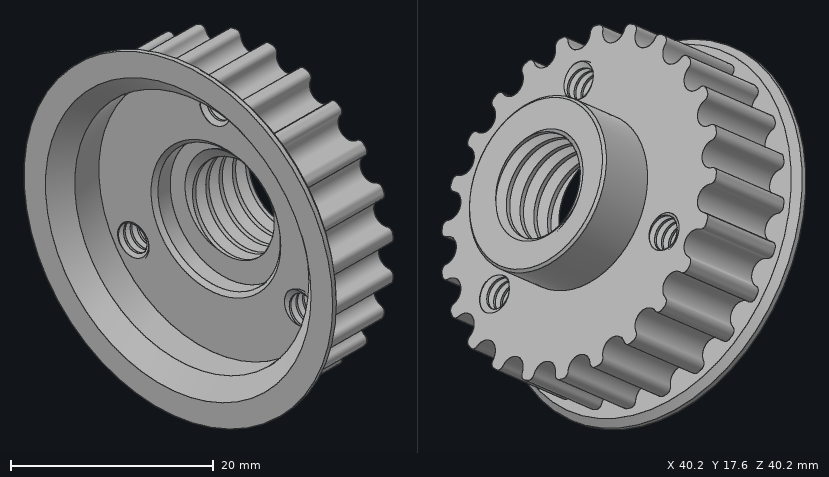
import cadquery as cq
import math

flange_radius = 20.1
flange_rim = 0.55
flange_thickness = 1.33

tooth_count = 24
tip_radius = 18.5
groove_radius = 1.5
groove_root_radius = 16.45
tip_fillet = 0.65
rim_end = 11.22

hub_radius = 9.17
hub_chamfer = 0.3
total_length = 17.55

recess_radius = 15.25
recess_mouth_radius = 17.3
recess_depth = 5.7
counterbore_radius = 7.95
counterbore_mouth_radius = 8.45
counterbore_floor = 8.05

bore_radius = 5.4
bore_major_radius = 6.5
bore_pitch = 2.0
bore_start_angle = 115.0

hole_count = 3
hole_circle_radius = 12.8
hole_first_angle = 90.0
hole_radius = 1.75
hole_major_radius = 2.35
hole_pitch = 1.0
hole_start_angle = 250.0

land_fraction = 0.25
root_fraction = 0.04
base_overlap = 0.12


def polar(radius, angle):
    """Point at an angle in degrees."""
    return (radius * math.cos(math.radians(angle)), radius * math.sin(math.radians(angle)))


def along(start, end, distance):
    """Point at a distance from start, towards end."""
    length = math.dist(start, end)
    return tuple(a + (b - a) * distance / length for a, b in zip(start, end))


def revolve_about_y(points):
    """Solid of revolution from (radius, y) points."""
    return cq.Workplane("XY").polyline(points).close().revolve(360, (0, 0), (0, 1))


def fillet_middle(centre, start, end):
    """Middle of the tip fillet arc from start to end."""
    chord_middle = ((start[0] + end[0]) / 2, (start[1] + end[1]) / 2)
    return along(centre, chord_middle, tip_fillet)


def tooth_rim():
    """Rim with round grooves, blended into the tooth tips by fillets."""
    pitch_angle = 360.0 / tooth_count
    groove_centre_radius = groove_root_radius + groove_radius
    fillet_centre_radius = tip_radius - tip_fillet
    centre_gap = groove_radius + tip_fillet

    fillet_angle = math.degrees(math.acos(
        (groove_centre_radius ** 2 + fillet_centre_radius ** 2 - centre_gap ** 2)
        / (2 * groove_centre_radius * fillet_centre_radius)))

    outline = cq.Workplane("XZ").moveTo(*polar(tip_radius, -fillet_angle))
    for i in range(tooth_count):
        angle = i * pitch_angle
        groove_centre = polar(groove_centre_radius, angle)
        first_tip = polar(tip_radius, angle - fillet_angle)
        last_tip = polar(tip_radius, angle + fillet_angle)
        next_tip = polar(tip_radius, angle + pitch_angle - fillet_angle)

        first_fillet = polar(fillet_centre_radius, angle - fillet_angle)
        last_fillet = polar(fillet_centre_radius, angle + fillet_angle)
        first_blend = along(first_fillet, groove_centre, tip_fillet)
        last_blend = along(last_fillet, groove_centre, tip_fillet)

        outline = (
            outline.threePointArc(fillet_middle(first_fillet, first_tip, first_blend), first_blend)
            .threePointArc(polar(groove_root_radius, angle), last_blend)
            .threePointArc(fillet_middle(last_fillet, last_blend, last_tip), last_tip)
            .threePointArc(polar(tip_radius, angle + pitch_angle / 2), next_tip)
        )
    return outline.close().extrude(-rim_end)


def flange():
    bevel = flange_thickness - flange_rim
    return revolve_about_y([
        (0, 0),
        (flange_radius, 0),
        (flange_radius, flange_rim),
        (flange_radius - bevel, flange_thickness),
        (0, flange_thickness),
    ])


def hub():
    return revolve_about_y([
        (0, 0),
        (hub_radius, 0),
        (hub_radius, total_length - hub_chamfer),
        (hub_radius - hub_chamfer, total_length),
        (0, total_length),
    ])


def front_recess():
    """Recess and counterbore, each with a 45 degree mouth."""
    return revolve_about_y([
        (0, 0),
        (recess_mouth_radius, 0),
        (recess_radius, recess_mouth_radius - recess_radius),
        (recess_radius, recess_depth),
        (counterbore_mouth_radius, recess_depth),
        (counterbore_radius, recess_depth + counterbore_mouth_radius - counterbore_radius),
        (counterbore_radius, counterbore_floor),
        (0, counterbore_floor),
    ])


def threaded_hole(minor_radius, major_radius, pitch, start_y, end_y, start_angle):
    """Cutters along Y: a helical groove, deepest at start_angle on start_y, then the plain hole."""
    hole_start = start_y - pitch / 2
    hole_length = end_y - start_y + pitch
    hole = cq.Workplane("XZ", origin=(0, hole_start, 0)).circle(minor_radius).extrude(-hole_length)

    half_root = pitch * root_fraction / 2
    half_mouth = pitch * (1 - land_fraction) / 2
    base_radius = minor_radius - base_overlap
    widening = (half_mouth - half_root) * base_overlap / (major_radius - minor_radius)
    half_base = half_mouth + widening

    turns = math.ceil((end_y - start_y) / pitch) + 2
    helix = cq.Workplane(cq.Wire.makeHelix(pitch, turns * pitch, minor_radius))
    groove = (
        cq.Workplane("XZ")
        .polyline([
            (base_radius, -half_base),
            (major_radius, -half_root),
            (major_radius, half_root),
            (base_radius, half_base),
        ])
        .close()
        .sweep(helix, isFrenet=True)
        .rotate((0, 0, 0), (0, 0, 1), -start_angle)
        .rotate((0, 0, 0), (1, 0, 0), -90)
        .translate((0, start_y - pitch, 0))
    )

    return [groove, hole]


result = tooth_rim().union(flange()).union(hub()).cut(front_recess())

for cutter in threaded_hole(bore_radius, bore_major_radius, bore_pitch,
                            counterbore_floor, total_length, bore_start_angle):
    result = result.cut(cutter)

side_hole = threaded_hole(hole_radius, hole_major_radius, hole_pitch, recess_depth, rim_end,
                          hole_start_angle - hole_first_angle)
for i in range(hole_count):
    turn = hole_first_angle + i * 360.0 / hole_count
    for cutter in side_hole:
        placed = cutter.translate((hole_circle_radius, 0, 0)).rotate((0, 0, 0), (0, 1, 0), -turn)
        result = result.cut(placed)